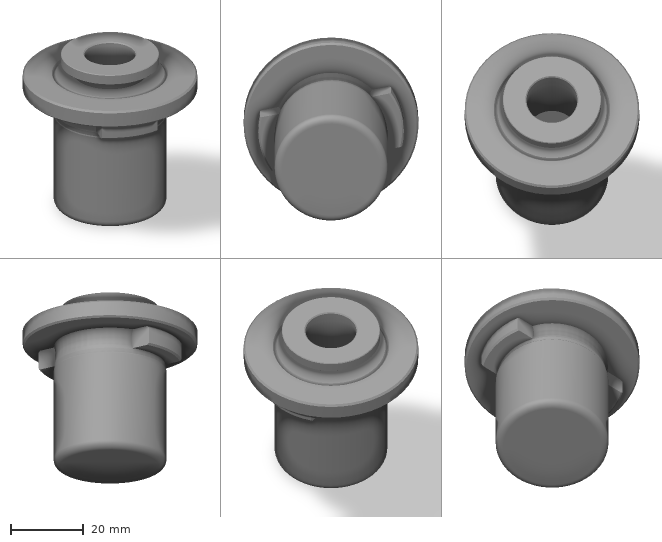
import cadquery as cq

barrel_radius = 15.5
barrel_top = 28.0
barrel_bottom_fillet = 2.0
barrel_top_chamfer_height = 0.3

land_radius = 15.35
land_top = 29.15
throat_waist_radius = 14.9

flange_radius = 24.0
flange_bottom = 35.0
flange_top = 40.0
flange_chamfer = 0.5

groove_radius = barrel_radius
groove_depth = 0.5

neck_radius = 10.0
head_radius = 13.5
head_bottom = 43.0
head_top = 46.0
head_chamfer = 0.2

bore_radius = 7.0
bore_depth = 20.0
bore_chamfer = 0.3

lug_outer_radius = 20.0
lug_width = 16.0
lug_bottom = 29.5
lug_chamfer = 0.5


def make_body():
    """Revolve the outer profile, drawn as (radius, height), about the Z axis."""
    throat_middle = (land_top + flange_bottom) / 2
    profile = (
        cq.Workplane("XZ")
        .lineTo(barrel_radius, 0)
        .lineTo(barrel_radius, barrel_top - barrel_top_chamfer_height)
        .lineTo(land_radius, barrel_top)
        .lineTo(land_radius, land_top)
        .threePointArc((throat_waist_radius, throat_middle), (land_radius, flange_bottom))
        .lineTo(flange_radius - flange_chamfer, flange_bottom)
        .lineTo(flange_radius, flange_bottom + flange_chamfer)
        .lineTo(flange_radius, flange_top - flange_chamfer)
        .lineTo(flange_radius - flange_chamfer, flange_top)
        .lineTo(groove_radius + groove_depth, flange_top)
        .lineTo(groove_radius, flange_top - groove_depth)
        .lineTo(groove_radius - groove_depth, flange_top)
        .lineTo(neck_radius, flange_top)
        .lineTo(neck_radius, head_bottom)
        .lineTo(head_radius - head_chamfer, head_bottom)
        .lineTo(head_radius, head_bottom + head_chamfer)
        .lineTo(head_radius, head_top - head_chamfer)
        .lineTo(head_radius - head_chamfer, head_top)
        .lineTo(0, head_top)
        .close()
    )
    body = profile.revolve(360, (0, 0, 0), (0, 1, 0))
    return body.faces("<Z").edges().fillet(barrel_bottom_fillet)


def make_lugs():
    """Chamfered disc trimmed to a bar across X; the body fills its middle."""
    lug_height = flange_bottom - lug_bottom
    disc = (
        cq.Workplane("XY", origin=(0, 0, lug_bottom))
        .circle(lug_outer_radius)
        .extrude(lug_height)
        .edges()
        .chamfer(lug_chamfer)
    )
    bar = (
        cq.Workplane("XY", origin=(0, 0, lug_bottom))
        .rect(2 * lug_outer_radius, lug_width)
        .extrude(lug_height)
    )
    return disc.intersect(bar)


def make_bore():
    """Revolved cutter for the flat-bottomed bore and its entry chamfer."""
    return (
        cq.Workplane("XZ")
        .moveTo(0, head_top)
        .lineTo(bore_radius + bore_chamfer, head_top)
        .lineTo(bore_radius, head_top - bore_chamfer)
        .lineTo(bore_radius, head_top - bore_depth)
        .lineTo(0, head_top - bore_depth)
        .close()
        .revolve(360, (0, 0, 0), (0, 1, 0))
    )


result = make_body().union(make_lugs()).cut(make_bore())